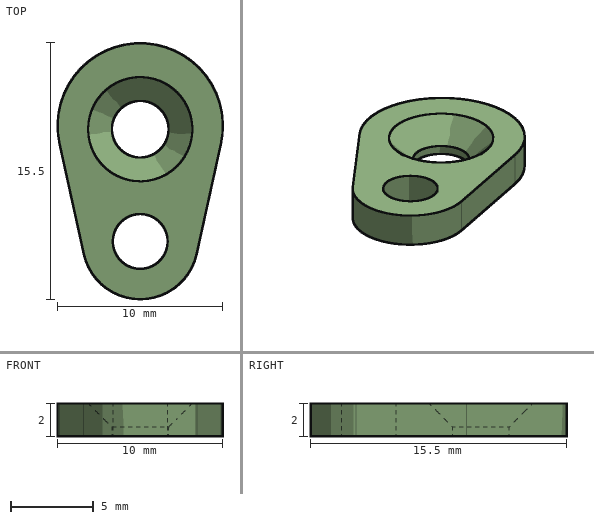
import cadquery as cq
import math

length = 15.48
thickness = 2.0
large_end_radius = 5.0
small_end_radius = 3.5
plain_hole_diameter = 3.3
screw_hole_diameter = 3.4
countersink_diameter = 6.3
countersink_angle = 90.0
hole_spacing = 6.78

end_spacing = length - large_end_radius - small_end_radius

tangent_angle = math.asin((large_end_radius - small_end_radius) / end_spacing)


def tangent_point(radius, center_y):
    """Return the point where the +X side leaves an end arc."""
    return (
        radius * math.cos(tangent_angle),
        center_y - radius * math.sin(tangent_angle),
    )


def make_plate():
    """Build the teardrop-shaped plate with its bottom face at Z = 0."""
    small_x, small_y = tangent_point(small_end_radius, 0)
    large_x, large_y = tangent_point(large_end_radius, end_spacing)
    return (
        cq.Workplane("XY")
        .moveTo(small_x, small_y)
        .lineTo(large_x, large_y)
        .threePointArc((0, end_spacing + large_end_radius), (-large_x, large_y))
        .lineTo(-small_x, small_y)
        .threePointArc((0, -small_end_radius), (small_x, small_y))
        .close()
        .extrude(thickness)
    )


top_plane = cq.Workplane("XY", origin=(0, 0, thickness))
plain_hole = top_plane.circle(plain_hole_diameter / 2).extrude(-thickness)

result = (
    make_plate()
    .cut(plain_hole)
    .faces(">Z")
    .workplane(origin=(0, hole_spacing, thickness))
    .cskHole(screw_hole_diameter, countersink_diameter, countersink_angle)
)